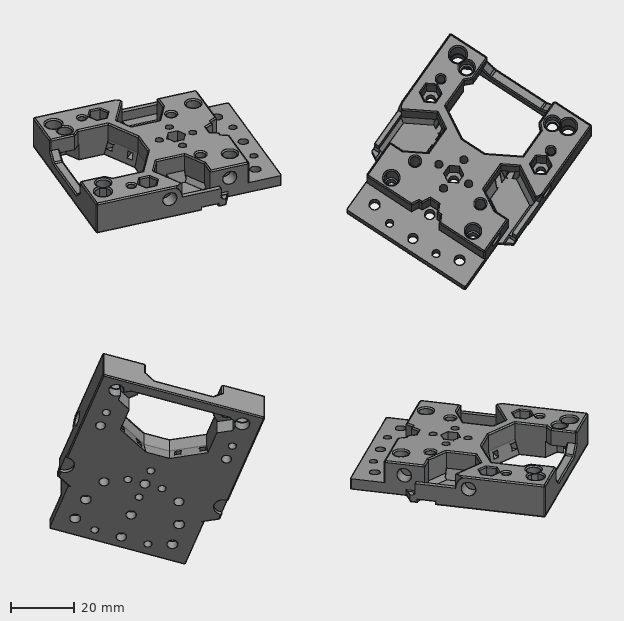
import cadquery as cq
import math

LENGTH = 64.6
HALF_WIDTH = 27.0
HEIGHT = 11.2
PLATE_HALF_WIDTH = 22.6
PLATE_HEIGHT = 3.6
FLOOR = 2.0
WALL_SLOPE = math.tan(math.radians(30))
COS_30 = math.cos(math.radians(30))
EDGE_CHAMFER = 0.45
CORNER_CHAMFER = 0.3
BASE_CHAMFER = 0.4
HOLE_CHAMFER = 0.45
NUT_CHAMFER = 0.4

OPENING_HALF_WIDTH = 14.6
OPENING_APEX_HALF = 4.25
OPENING_BACK = 26.55
OPENING_SHOULDER = OPENING_BACK - (OPENING_HALF_WIDTH - OPENING_APEX_HALF) * WALL_SLOPE
OPENING_DRAFT_TOP = 5.15
OPENING_DRAFT = 1.15
APEX_MITRE = math.tan(math.radians(15))
MOUTH_HALF_WIDTH = 12.65
MOUTH_DEPTH = 8.45
MOUTH_CORNER_Y = MOUTH_DEPTH + OPENING_HALF_WIDTH - MOUTH_HALF_WIDTH
SILL_DEPTH = 3.35
SILL_HEIGHT = 4.2
SILL_RAMP_END = 10.0
SILL_FLAT_END = 9.3
SILL_EASE = 0.25

POCKET_INNER = 10.7
POCKET_BACK = 40.4
POCKET_BACK_X = 17.6
POCKET_INNER_BACK = POCKET_BACK - (POCKET_BACK_X - POCKET_INNER) * WALL_SLOPE
POCKET_TIP = (15.7, 24.0)
POCKET_INNER_FRONT = POCKET_TIP[1] + (POCKET_TIP[0] - POCKET_INNER) * WALL_SLOPE
POCKET_RAMP = 1.5
POCKET_INNER_RAMP = 1.9
POCKET_INNER_RISE = 3.15
POCKET_RAMP_END = 19.0
POCKET_RAMP_SIDE_Y = 35.5

RAIL_INNER = 25.45
RAIL_HEIGHT = 6.7
RAIL_RAMP = 1.35
RAIL_FOOT = RAIL_INNER - RAIL_RAMP
RAIL_FRONT = 29.2
RAIL_BACK = 42.4
LEDGE_HEIGHT = 2.6
LEDGE_STEP = 0.7
SIDE_BACK = 43.9
SIDE_BACK_INNER = SIDE_BACK + (HALF_WIDTH - PLATE_HALF_WIDTH) * WALL_SLOPE
RAIL_POCKET_Y = POCKET_TIP[1] + (RAIL_INNER - POCKET_TIP[0]) * WALL_SLOPE
SHOULDER_RADIUS = HEIGHT - RAIL_HEIGHT
SHOULDER_FRONT = 27.1

BLOCK_BACK = 53.7
RELIEF = [(5.3, BLOCK_BACK), (4.1, 51.3), (2.85, 51.3), (1.55, 48.65)]

PILOT_D = 2.5
CENTRE_D = 3.2
FOOT_NUT_D = 3.1
SCREW_D = 3.4
COUNTERBORE_D = 4.6
FOOT_BORE_FLOOR = 7.1
CORNER_D = 4.7
CORNER_TOP_D = 5.15
SIDE_HOLE_D = 4.7
SIDE_HOLE_DEPTH = 4.7
SIDE_HOLE_Z = 7.0
NUT_FLATS = 5.5
HUB_Y = 37.8
HUB_RADIUS = 5.7
PLATE_PILOT = (8.85, 60.65)
PLATE_SCREW = (16.2, 58.25)
BLOCK_SCREW = (15.55, 49.85)
BLOCK_HOLE = (12.45, 41.15)
RELIEF_HOLE_Y = 51.15
BLOCK_SIDE_HOLE_Y = 47.0
FOOT_SIDE_HOLE_Y = 24.9
FOOT_X = 21.0
FOOT_NUT_Y = 19.8
FOOT_PILOT_Y = 14.2
FOOT_SCREW = (16.35, 6.5)
FOOT_CORNER_Y = 4.6
NUT_SLOT_TOP = 5.55
NUT_SLOT_LENGTH = 5.8
NUT_SLOT_ANGLE = 150
UNDERCUT = (26.4, 38.7)
UNDERCUT_D = 6.1
UNDERCUT_DEPTH = 1.3
TIE_WIDTH = 1.95
TIE_TOP = 4.25
TIE_PATHS = [((13.55, 18.1), (13.55, 27.1)), ((5.35, 23.7), (12.9, 31.0))]


def mirrored(points):
    """Close a right-hand outline with its reflection in the YZ plane."""
    return points + [(-x, y) for x, y in reversed(points)]


def prism(points, bottom, top):
    return cq.Workplane("XY").workplane(offset=bottom).polyline(points).close().extrude(top - bottom)


def both_sides(solid):
    return solid.union(solid.mirror("YZ"))


def along_y(section, start, end):
    """Extrude an XZ section from y = start to y = end."""
    return cq.Workplane("XZ", origin=(0, start, 0)).polyline(section).close().extrude(start - end)


def base_outline():
    return mirrored([
        (HALF_WIDTH - CORNER_CHAMFER, 0),
        (HALF_WIDTH, CORNER_CHAMFER),
        (HALF_WIDTH, SIDE_BACK),
        (PLATE_HALF_WIDTH, SIDE_BACK_INNER),
    ])


def make_base():
    floor = prism(base_outline(), 0, FLOOR)
    plate = prism(mirrored([(PLATE_HALF_WIDTH, POCKET_BACK), (PLATE_HALF_WIDTH, LENGTH)]), 0, PLATE_HEIGHT)
    plate = plate.edges("|Z and >Y").chamfer(CORNER_CHAMFER)
    return floor.union(plate)


def make_frame():
    """Full-height X-shaped frame with chamfered top edges."""
    c = EDGE_CHAMFER
    outer = [
        (MOUTH_HALF_WIDTH, c),
        (MOUTH_HALF_WIDTH + c, 0),
        (HALF_WIDTH - CORNER_CHAMFER, 0),
        (HALF_WIDTH, CORNER_CHAMFER),
        (HALF_WIDTH, RAIL_FRONT),
        (RAIL_INNER, RAIL_POCKET_Y),
        POCKET_TIP,
        (POCKET_INNER, POCKET_INNER_FRONT),
        (POCKET_INNER, POCKET_INNER_BACK),
        (POCKET_BACK_X, POCKET_BACK),
        (PLATE_HALF_WIDTH, POCKET_BACK),
        (PLATE_HALF_WIDTH, BLOCK_BACK - c),
        (PLATE_HALF_WIDTH - c, BLOCK_BACK),
    ] + RELIEF
    inner = [
        (OPENING_APEX_HALF, OPENING_BACK),
        (OPENING_HALF_WIDTH, OPENING_SHOULDER),
        (OPENING_HALF_WIDTH, MOUTH_CORNER_Y),
        (MOUTH_HALF_WIDTH, MOUTH_DEPTH),
    ]
    left_inner = [(-x, y) for x, y in reversed(inner)]
    frame = prism(mirrored(outer) + left_inner + inner, 0, HEIGHT)
    return frame.faces(">Z").edges().chamfer(EDGE_CHAMFER)


def make_rails():
    """Low side walls with a sloped foot, ending in a lower ledge."""
    rail = along_y(
        [(HALF_WIDTH, 0), (HALF_WIDTH, RAIL_HEIGHT), (RAIL_INNER, RAIL_HEIGHT),
         (RAIL_INNER, FLOOR + RAIL_RAMP), (RAIL_FOOT, FLOOR), (RAIL_FOOT, 0)],
        RAIL_FRONT - SHOULDER_RADIUS, RAIL_BACK)
    top = LEDGE_HEIGHT + LEDGE_STEP
    ledge = along_y(
        [(HALF_WIDTH, 0), (HALF_WIDTH, top), (RAIL_INNER, top), (RAIL_FOOT, FLOOR), (RAIL_FOOT, 0)],
        RAIL_BACK, SIDE_BACK_INNER)
    ledge_space = (
        cq.Workplane("YZ")
        .moveTo(RAIL_BACK, top)
        .lineTo(RAIL_BACK + LEDGE_STEP, LEDGE_HEIGHT)
        .lineTo(LENGTH, LEDGE_HEIGHT)
        .lineTo(LENGTH, HEIGHT)
        .lineTo(RAIL_BACK, HEIGHT)
        .close()
        .extrude(HALF_WIDTH)
    )
    ledge = ledge.cut(ledge_space).intersect(prism(base_outline(), 0, HEIGHT))
    return both_sides(rail.union(ledge))


def wall_ramp(start, end, run, rise):
    """Triangular fillet on the right of the wall from start to end, standing on the floor."""
    dx = end[0] - start[0]
    dy = end[1] - start[1]
    return (
        cq.Workplane("YZ")
        .polyline([(0, FLOOR), (-run, FLOOR), (0, FLOOR + rise)]).close()
        .extrude(math.hypot(dx, dy))
        .rotate((0, 0, 0), (0, 0, 1), math.degrees(math.atan2(dy, dx)))
        .translate((start[0], start[1], 0))
    )


def tie_tunnels(top):
    """Two straight flat-bottomed tunnels from the opening to the pocket."""
    tunnels = cq.Workplane("XY")
    for start, end in TIE_PATHS:
        dx = end[0] - start[0]
        dy = end[1] - start[1]
        tunnel = (
            cq.Workplane("XY")
            .box(math.hypot(dx, dy), TIE_WIDTH, top - FLOOR, centered=(False, True, False))
            .rotate((0, 0, 0), (0, 0, 1), math.degrees(math.atan2(dy, dx)))
            .translate((start[0], start[1], FLOOR))
        )
        tunnels = tunnels.add(tunnel)
    return tunnels.combine()


def make_pocket_ramps():
    """Ramps between the pocket walls and the pocket floor, steeper along the inner faces."""
    rail_corner = (RAIL_INNER, RAIL_POCKET_Y)
    inner_front = (POCKET_INNER, POCKET_INNER_FRONT)
    inner_back = (POCKET_INNER, POCKET_INNER_BACK)
    back_end = (PLATE_HALF_WIDTH, POCKET_INNER_BACK + (PLATE_HALF_WIDTH - POCKET_INNER) * WALL_SLOPE)
    ramps = wall_ramp(inner_back, back_end, POCKET_RAMP, POCKET_RAMP)
    ramps = ramps.union(wall_ramp(inner_front, inner_back, POCKET_INNER_RAMP, POCKET_INNER_RISE))
    ramps = ramps.union(wall_ramp(POCKET_TIP, inner_front, POCKET_RAMP, POCKET_INNER_RISE))
    ramps = ramps.union(wall_ramp(rail_corner, POCKET_TIP, POCKET_RAMP, POCKET_RAMP))
    region = prism([
        rail_corner, POCKET_TIP, inner_front, inner_back,
        (POCKET_BACK_X, POCKET_BACK), (POCKET_RAMP_END, POCKET_BACK),
        (POCKET_RAMP_END, POCKET_RAMP_SIDE_Y), (RAIL_INNER, POCKET_RAMP_SIDE_Y),
    ], 0, HEIGHT)
    return both_sides(ramps.intersect(region).cut(tie_tunnels(HEIGHT)))


def make_opening_lip():
    """Material below the rear of the opening, from which the leaning faces are cut."""
    lip = mirrored([
        (OPENING_HALF_WIDTH, OPENING_SHOULDER - OPENING_DRAFT / COS_30),
        (OPENING_HALF_WIDTH, OPENING_SHOULDER),
        (OPENING_APEX_HALF, OPENING_BACK),
    ])
    return prism(lip, 0, OPENING_DRAFT_TOP)


def make_opening():
    """Opening whose rear faces lean inward towards the bottom."""
    def outline(draft):
        return mirrored([
            (MOUTH_HALF_WIDTH, SILL_DEPTH),
            (MOUTH_HALF_WIDTH, MOUTH_DEPTH),
            (OPENING_HALF_WIDTH, MOUTH_CORNER_Y),
            (OPENING_HALF_WIDTH, OPENING_SHOULDER - draft / COS_30),
            (OPENING_APEX_HALF - draft * APEX_MITRE, OPENING_BACK - draft),
        ])

    return (
        cq.Workplane("XY").polyline(outline(OPENING_DRAFT)).close()
        .workplane(offset=OPENING_DRAFT_TOP).polyline(outline(0)).close()
        .loft(ruled=True)
        .union(prism(outline(0), OPENING_DRAFT_TOP, HEIGHT))
    )


def make_sill():
    """Front bar with ramped ends and bevelled front and rear edges."""
    def hollow(grow):
        bottom = SILL_HEIGHT - grow
        ramp_end = bottom + SILL_EASE
        half = MOUTH_HALF_WIDTH + grow
        return mirrored([
            (half, HEIGHT),
            (half, ramp_end + MOUTH_HALF_WIDTH - SILL_RAMP_END),
            (SILL_RAMP_END + grow / 2, ramp_end),
            (SILL_FLAT_END + grow / 2, bottom),
        ])

    end = MOUTH_HALF_WIDTH + EDGE_CHAMFER
    bar = prism(mirrored([(end, 0), (end, SILL_DEPTH)]), 0, HEIGHT - EDGE_CHAMFER)
    bar = bar.cut(along_y(hollow(0), 0, SILL_DEPTH))
    for edge, inside in [(0, EDGE_CHAMFER), (SILL_DEPTH, SILL_DEPTH - EDGE_CHAMFER)]:
        bevel = (
            cq.Workplane("XZ", origin=(0, edge, 0)).polyline(hollow(EDGE_CHAMFER)).close()
            .workplane(offset=edge - inside).polyline(hollow(0)).close()
            .loft(ruled=True)
        )
        bar = bar.cut(bevel)
    return bar


def drill(body, points, diameter, head=0.0, head_floor=PLATE_HEIGHT, chamfer=0.0):
    """Drill through at the points, with an optional counterbore and top chamfer."""
    body = body.cut(cq.Workplane("XY").pushPoints(points).circle(diameter / 2).extrude(HEIGHT))
    if head:
        bore = cq.Workplane("XY").workplane(offset=head_floor).pushPoints(points).circle(head / 2)
        body = body.cut(bore.extrude(HEIGHT))
    if chamfer:
        radius = max(diameter, head) / 2
        for x, y in points:
            tip = cq.Vector(x, y, HEIGHT - chamfer)
            cone = cq.Solid.makeCone(radius, radius + chamfer, chamfer, pnt=tip)
            body = body.cut(cq.Workplane(cone))
    return body


def pair(x, y):
    return [(x, y), (-x, y)]


def hexagon(z, flats):
    """Hexagon sketch at height z with its corners on the Y axis."""
    return cq.Workplane("XY", origin=(0, 0, z)).transformed(rotate=(0, 0, 30)).polygon(6, flats / COS_30)


def nut_pocket(x, y, chamfer=0.0):
    """Hexagon pocket sunk from the top."""
    pocket = hexagon(PLATE_HEIGHT, NUT_FLATS).extrude(HEIGHT - PLATE_HEIGHT)
    if chamfer:
        mouth = hexagon(HEIGHT - chamfer, NUT_FLATS).workplane(offset=chamfer)
        mouth = mouth.polygon(6, (NUT_FLATS + 2 * chamfer) / COS_30).loft(ruled=True)
        pocket = pocket.union(mouth)
    return pocket.translate((x, y, 0))


def corner_bore():
    """Wide upper part of the corner hole, flattened on the side of the nearby counterbore."""
    angle = math.degrees(math.atan2(FOOT_SCREW[1] - FOOT_CORNER_Y, FOOT_SCREW[0] - FOOT_X))
    radius = CORNER_TOP_D / 2
    bore = cq.Workplane("XY").circle(radius).extrude(HEIGHT - PLATE_HEIGHT)
    mouth = cq.Solid.makeCone(radius, radius + HOLE_CHAMFER, HOLE_CHAMFER,
                              pnt=cq.Vector(0, 0, HEIGHT - PLATE_HEIGHT - HOLE_CHAMFER))
    flat = cq.Workplane("XY").box(radius, CORNER_TOP_D, HEIGHT, centered=(False, True, False))
    flat = flat.translate((CORNER_D / 2, 0, 0)).rotate((0, 0, 0), (0, 0, 1), angle)
    return bore.cut(flat).union(cq.Workplane(mouth)).translate((FOOT_X, FOOT_CORNER_Y, PLATE_HEIGHT))


def nut_slot():
    """Bottom nut seat under the foot screw, open towards the opening."""
    slot = (
        cq.Workplane("XY")
        .box(NUT_SLOT_LENGTH, NUT_FLATS, NUT_SLOT_TOP, centered=(False, True, False))
        .rotate((0, 0, 0), (0, 0, 1), NUT_SLOT_ANGLE)
    )
    seat = hexagon(0, NUT_FLATS).extrude(NUT_SLOT_TOP)
    x, y = FOOT_SCREW
    gap_outline = [(MOUTH_HALF_WIDTH, SILL_DEPTH), (x, SILL_DEPTH), (x, y), (MOUTH_HALF_WIDTH, y)]
    gap = prism(gap_outline, 0, NUT_SLOT_TOP)
    return slot.union(seat).translate((x, y, 0)).union(gap)


def shoulder_cut():
    """Rounded relief at the outer corner where the frame meets the rail."""
    front = RAIL_FRONT - SHOULDER_RADIUS
    wedge = prism([(RAIL_INNER, RAIL_POCKET_Y), (HALF_WIDTH, SHOULDER_FRONT), (HALF_WIDTH, RAIL_POCKET_Y)],
                  RAIL_HEIGHT, HEIGHT)
    drum = cq.Workplane("YZ").center(front, RAIL_HEIGHT).circle(SHOULDER_RADIUS).extrude(HALF_WIDTH)
    return wedge.cut(drum)


def base_bevel():
    """Bevel under the sides and front of the body, leaving the rear plate square."""
    peak = (0, SIDE_BACK_INNER + PLATE_HALF_WIDTH * WALL_SLOPE)
    outline = base_outline()
    middle = len(outline) // 2
    outline = outline[:middle] + [peak] + outline[middle:]
    core = cq.Workplane("XY").polyline(outline).close().offset2D(-BASE_CHAMFER)
    core = core.extrude(BASE_CHAMFER, taper=-45)
    plate_outline = mirrored([(PLATE_HALF_WIDTH, SIDE_BACK_INNER), (PLATE_HALF_WIDTH, LENGTH)])
    plate = prism(plate_outline, 0, BASE_CHAMFER)
    return prism(outline, 0, BASE_CHAMFER).cut(core).cut(plate)


result = make_base().union(make_frame()).union(make_rails())
result = result.union(make_pocket_ramps()).union(make_opening_lip())
result = result.cut(make_opening()).union(make_sill())
result = result.cut(both_sides(shoulder_cut())).cut(base_bevel())

result = result.cut(both_sides(tie_tunnels(TIE_TOP)))

undercuts = cq.Workplane("XY").pushPoints(pair(*UNDERCUT)).circle(UNDERCUT_D / 2)
result = result.cut(undercuts.extrude(UNDERCUT_DEPTH))

for face_x, y in [(PLATE_HALF_WIDTH, BLOCK_SIDE_HOLE_Y), (HALF_WIDTH, FOOT_SIDE_HOLE_Y)]:
    side_hole = cq.Workplane("YZ", origin=(face_x, y, SIDE_HOLE_Z)).circle(SIDE_HOLE_D / 2)
    result = result.cut(both_sides(side_hole.extrude(-SIDE_HOLE_DEPTH)))

hub_pilots = [(0, HUB_Y + HUB_RADIUS), (0, HUB_Y - HUB_RADIUS)] + pair(HUB_RADIUS, HUB_Y)
result = drill(result, hub_pilots + pair(*PLATE_PILOT), PILOT_D)
result = drill(result, [(0, PLATE_PILOT[1]), (0, RELIEF_HOLE_Y), (0, HUB_Y)], CENTRE_D)
result = drill(result, pair(*PLATE_SCREW), SCREW_D)
result = drill(result, pair(*BLOCK_SCREW), SCREW_D, head=COUNTERBORE_D, chamfer=HOLE_CHAMFER)
result = drill(result, pair(*BLOCK_HOLE), CENTRE_D, chamfer=HOLE_CHAMFER)
result = result.cut(nut_pocket(0, HUB_Y))

result = drill(result, pair(*FOOT_SCREW), SCREW_D, COUNTERBORE_D, FOOT_BORE_FLOOR, HOLE_CHAMFER)
result = result.cut(both_sides(nut_slot()))
result = drill(result, pair(FOOT_X, FOOT_PILOT_Y), PILOT_D, chamfer=HOLE_CHAMFER)
result = drill(result, pair(FOOT_X, FOOT_NUT_Y), FOOT_NUT_D)
result = result.cut(both_sides(nut_pocket(FOOT_X, FOOT_NUT_Y, chamfer=NUT_CHAMFER)))
result = drill(result, pair(FOOT_X, FOOT_CORNER_Y), CORNER_D, chamfer=HOLE_CHAMFER)
result = result.cut(both_sides(corner_bore()))